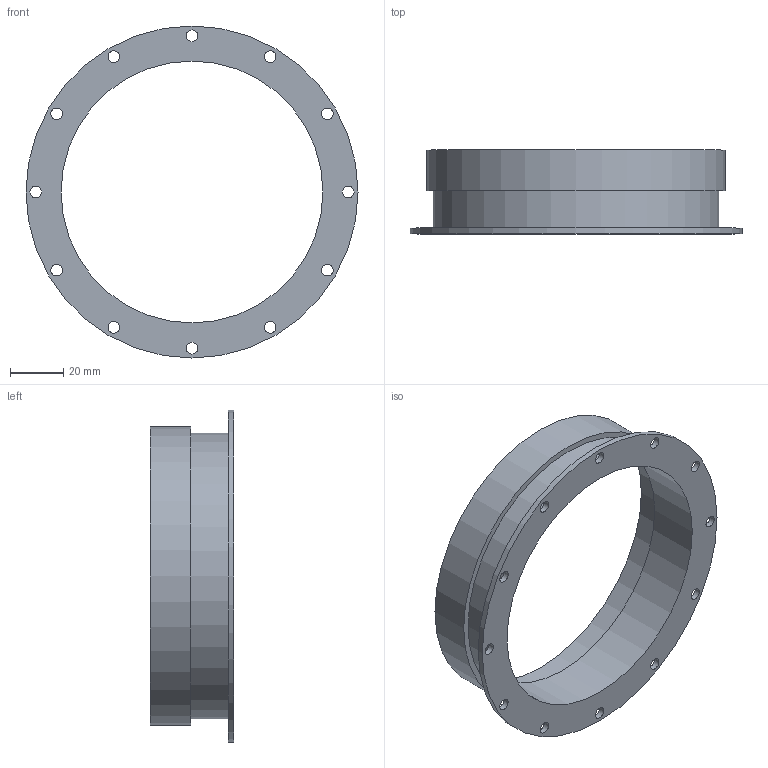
import cadquery as cq

total_length = 31.6
flange_diameter = 125.1
flange_thickness = 2.2
neck_diameter = 107.7
neck_end = 16.3
collar_diameter = 112.3

bore_diameter = 98.7
counterbore_diameter = neck_diameter
counterbore_start = 20.0

bolt_count = 12
bolt_hole_diameter = 4.4
bolt_circle_diameter = 117.7


def cylinder_along_y(diameter, start, end):
    """Solid cylinder about the Y axis, spanning start to end in Y."""
    plane = cq.Workplane("XZ", origin=(0, start, 0))
    return plane.circle(diameter / 2).extrude(start - end)


def make_body():
    """Flange, neck and collar stacked along Y."""
    flange = cylinder_along_y(flange_diameter, 0, flange_thickness)
    neck = cylinder_along_y(neck_diameter, 0, neck_end)
    collar = cylinder_along_y(collar_diameter, neck_end, total_length)
    return flange.union(neck).union(collar)


def make_stepped_bore():
    """Cutter for the through bore and the counterbore at the collar end."""
    bore = cylinder_along_y(bore_diameter, 0, total_length)
    counterbore = cylinder_along_y(counterbore_diameter, counterbore_start, total_length)
    return bore.union(counterbore)


def make_bolt_holes():
    """Cutters for the evenly spaced flange holes, the first on the X axis."""
    return (
        cq.Workplane("XZ")
        .polarArray(bolt_circle_diameter / 2, 0, 360, bolt_count)
        .circle(bolt_hole_diameter / 2)
        .extrude(-flange_thickness)
    )


result = make_body().cut(make_stepped_bore()).cut(make_bolt_holes())